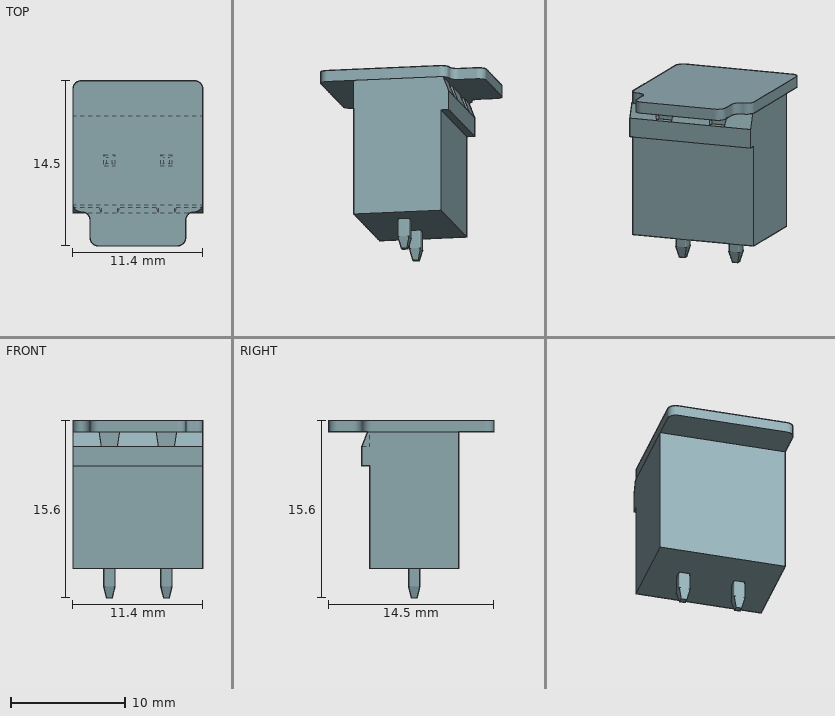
import cadquery as cq

WIDTH = 11.4
HOUSING_DEPTH = 7.8
HOUSING_HEIGHT = 11.98
HOUSING_FRONT = -HOUSING_DEPTH / 2
HOUSING_BACK = HOUSING_DEPTH / 2

LIP_OVERHANG = 0.7
LIP_BOTTOM = 9.0
LIP_FRONT = HOUSING_FRONT - LIP_OVERHANG
BEVEL_HEIGHT = 1.3
BEVEL_DEPTH = 0.5
BEVEL_BOTTOM = HOUSING_HEIGHT - BEVEL_HEIGHT

PITCH = 5.0
POSITIONS = (-PITCH / 2, PITCH / 2)

NOTCH_TOP_WIDTH = 1.8
NOTCH_BOTTOM_WIDTH = 1.4

PLATE_THICKNESS = 1.0
PLATE_BACK_OVERHANG = 3.1
PLATE_BODY_DEPTH = 11.5
TONGUE_LENGTH = 3.0
PLATE_CORNER_RADIUS = 0.75
SHOULDER_WIDTH = 2 * PLATE_CORNER_RADIUS
TONGUE_WIDTH = WIDTH - 2 * SHOULDER_WIDTH
PLATE_BACK = HOUSING_BACK + PLATE_BACK_OVERHANG
PLATE_BODY_FRONT = PLATE_BACK - PLATE_BODY_DEPTH
TONGUE_FRONT = PLATE_BODY_FRONT - TONGUE_LENGTH

PIN_WIDTH = 1.0
PIN_EDGE_RADIUS = 0.1
PIN_TIP_WIDTH = 0.5
PIN_TIP_LENGTH = 1.0
PIN_LENGTH = 2.6
PIN_SHANK_LENGTH = PIN_LENGTH - PIN_TIP_LENGTH


def make_notch(x):
    """Trapezoidal cutter that clears the lip bevel at position x."""
    return (
        cq.Workplane("XZ", origin=(x, HOUSING_FRONT, 0))
        .moveTo(-NOTCH_BOTTOM_WIDTH / 2, BEVEL_BOTTOM)
        .lineTo(NOTCH_BOTTOM_WIDTH / 2, BEVEL_BOTTOM)
        .lineTo(NOTCH_TOP_WIDTH / 2, HOUSING_HEIGHT)
        .lineTo(-NOTCH_TOP_WIDTH / 2, HOUSING_HEIGHT)
        .close()
        .extrude(LIP_OVERHANG)
    )


def make_housing():
    """Block with a bevelled, notched lip along the top of its front."""
    profile = [
        (HOUSING_BACK, 0),
        (HOUSING_BACK, HOUSING_HEIGHT),
        (LIP_FRONT + BEVEL_DEPTH, HOUSING_HEIGHT),
        (LIP_FRONT, BEVEL_BOTTOM),
        (LIP_FRONT, LIP_BOTTOM),
        (HOUSING_FRONT, LIP_BOTTOM),
        (HOUSING_FRONT, 0),
    ]
    housing = cq.Workplane("YZ").polyline(profile).close().extrude(WIDTH / 2, both=True)
    for x in POSITIONS:
        housing = housing.cut(make_notch(x))
    return housing


def make_plate():
    """Flat T-shaped plate on the housing top; each shoulder is two arcs that meet in an S."""
    radius = PLATE_CORNER_RADIUS
    side = WIDTH / 2
    tongue_side = TONGUE_WIDTH / 2
    return (
        cq.Workplane("XY", origin=(0, 0, HOUSING_HEIGHT))
        .moveTo(0, PLATE_BACK)
        .lineTo(side - radius, PLATE_BACK)
        .tangentArcPoint((side, PLATE_BACK - radius), relative=False)
        .lineTo(side, PLATE_BODY_FRONT + radius)
        .tangentArcPoint((side - radius, PLATE_BODY_FRONT), relative=False)
        .tangentArcPoint((tongue_side, PLATE_BODY_FRONT - radius), relative=False)
        .lineTo(tongue_side, TONGUE_FRONT + radius)
        .tangentArcPoint((tongue_side - radius, TONGUE_FRONT), relative=False)
        .lineTo(0, TONGUE_FRONT)
        .mirrorY()
        .extrude(PLATE_THICKNESS)
    )


def make_pin(x):
    """Pin at position x, hanging from the housing bottom."""
    shank = (
        cq.Workplane("XY", origin=(x, 0, 0))
        .rect(PIN_WIDTH, PIN_WIDTH)
        .extrude(-PIN_SHANK_LENGTH)
        .edges("|Z")
        .fillet(PIN_EDGE_RADIUS)
    )
    tip = (
        cq.Workplane("XY", origin=(x, 0, -PIN_SHANK_LENGTH))
        .rect(PIN_WIDTH, PIN_WIDTH)
        .workplane(offset=-PIN_TIP_LENGTH)
        .rect(PIN_TIP_WIDTH, PIN_TIP_WIDTH)
        .loft()
    )
    return shank.union(tip)


housing = make_housing()
plate = make_plate()
pins = [make_pin(x) for x in POSITIONS]

result = cq.Compound.makeCompound([housing.val(), plate.val(), *[pin.val() for pin in pins]])